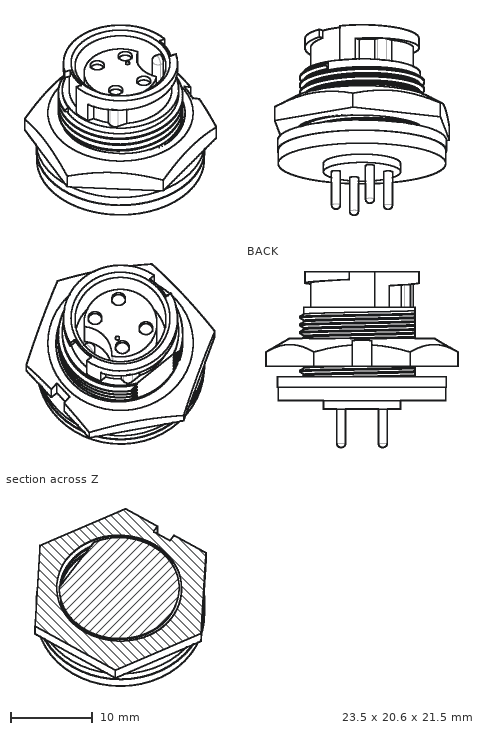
import cadquery as cq
import math

flange_step_z = 1.62
flange_top_z = 2.91
nut_bottom_z = 4.17
nut_height = 3.4
collar_top_z = 11.385
top_z = 15.72
overlap = 0.1

flange_radius = 10.31
flange_lower_radius = 10.24
boss_radius = 4.71
boss_height = 1.04

thread_pitch = 25.4 / 27
thread_root_radius = 7.11
thread_crest_radius = 7.6
thread_root_width = 0.76
thread_crest_width = 0.15
thread_turns = 9
thread_end_z = 10.874
thread_start_z = thread_end_z - thread_turns * thread_pitch
thread_start_angle = -90
collar_flat_x = -6.48

neck_radius = 6.27
rim_radius = 6.97
notch_width = 3.06
stop_end_x = 3.34
ramp_lead = 2.0
ramp_first_angle = 105
ramp_last_angle = 275
ramp_thin_angle = 257
rim_thin_height = 0.95
lug_face_x = 5.93
lug_inner_y = 2.08
lug_outer_y = 4.04
lug_fillet = 0.75

bore_radius = 5.55
bore_chamfer = 0.49
socket_depth = 6.5
socket_floor_z = top_z - socket_depth
insert_radius = 4.45
insert_recess = 1.66
insert_top_z = top_z - insert_recess
insert_scoop_radius = 3.68
insert_scoop_y = 6.29
insert_corner_fillet = 0.15
key_radius = 0.7
key_y = 5.08
key_center_z = insert_top_z
marker_radius = 0.25
marker_x = -1.25
marker_y = 1.58

contact_spacing_x = 5.08
contact_spacing_y = 3.81
contact_hole_diameter = 1.68
contact_hole_depth = 0.6
pin_radius = 0.55
pin_tip_fillet = 0.52
pin_tip_z = -5.74

nut_across_corners = 23.46
nut_face_radius = 8.87
nut_chamfer_angle = 30
nut_bore_radius = 7.43
nut_groove_radius = 7.89
nut_groove_mouth_width = 0.64
nut_groove_root_width = 0.1
nut_thread_turns = 7
nut_notch_width = 2.36
nut_notch_floor_y = 9.25


def cylinder(radius, bottom_z, height):
    """Solid cylinder on the connector axis."""
    return cq.Workplane("XY").workplane(offset=bottom_z).circle(radius).extrude(height)


def box_between(x_min, x_max, y_min, y_max, z_min, z_max):
    """Axis-aligned box between two corners."""
    size = (x_max - x_min, y_max - y_min, z_max - z_min)
    return cq.Workplane("XY").box(*size, centered=False).translate((x_min, y_min, z_min))


def helical_sweep(profile_points, lead, turns, start_angle, start_z):
    """Sweep a (radius, height) outline along a right-hand helix."""
    helix = cq.Wire.makeHelix(lead, lead * turns, profile_points[0][0])
    outline = cq.Workplane("XZ").polyline(profile_points).close()
    swept = outline.sweep(cq.Workplane(obj=helix), isFrenet=True)
    return swept.rotate((0, 0, 0), (0, 0, 1), start_angle).translate((0, 0, start_z))


def thread_ridge(inner_radius, outer_radius, inner_width, outer_width, turns):
    """Trapezoidal ridge on the helix that the collar and the nut share.

    The sides carry straight on past the inner radius, so that the ridge meets the cylinder there fully.
    """
    side_slope = (inner_width - outer_width) / (outer_radius - inner_radius)
    base_radius = inner_radius - overlap
    base_half = (inner_width + side_slope * overlap) / 2
    outline = [
        (base_radius, -base_half),
        (outer_radius, -outer_width / 2),
        (outer_radius, outer_width / 2),
        (base_radius, base_half),
    ]
    return helical_sweep(outline, thread_pitch, turns, thread_start_angle, thread_start_z)


def make_flange():
    """Two-step flange with the round boss behind it."""
    lower = cylinder(flange_lower_radius, 0, flange_step_z)
    upper = cylinder(flange_radius, flange_step_z, flange_top_z - flange_step_z)
    boss = cylinder(boss_radius, -boss_height, boss_height)
    return lower.union(upper).union(boss)


def make_threaded_collar():
    """Threaded collar with its flat on the -X side."""
    core = cylinder(thread_root_radius, flange_top_z - overlap, collar_top_z - flange_top_z + overlap)
    ridge = thread_ridge(
        thread_root_radius, thread_crest_radius, thread_root_width, thread_crest_width, thread_turns
    )
    flat_cutter = box_between(
        -flange_radius, collar_flat_x, -flange_radius, flange_radius, flange_top_z, collar_top_z
    )
    below_flange_top = cylinder(flange_radius, 0, flange_top_z - overlap)
    return core.union(ridge).cut(flat_cutter).cut(below_flange_top)


def ramp_undercut():
    """Space below the ramped rim on the -X side, ending at the stop."""
    ramp_degrees = ramp_last_angle - ramp_first_angle
    thin_rise = ramp_lead * (ramp_thin_angle - ramp_first_angle) / 360
    first_z = top_z - rim_thin_height - thin_rise
    depth = top_z - collar_top_z
    outline = [
        (neck_radius - overlap, 0),
        (rim_radius + overlap, 0),
        (rim_radius + overlap, -depth),
        (neck_radius - overlap, -depth),
    ]
    space = helical_sweep(outline, ramp_lead, ramp_degrees / 360, ramp_first_angle, first_z)
    stop = box_between(-stop_end_x, rim_radius, 0, flange_radius, 0, top_z)
    return space.cut(stop)


def detent_lug():
    """Lug standing on the neck at -X, +Y, with its outer corner rounded."""
    lug = box_between(-lug_face_x, 0, lug_inner_y, lug_outer_y, collar_top_z, top_z)
    return lug.edges("|Z and <X and >Y").fillet(lug_fillet)


def make_bayonet_neck():
    """Solid neck carrying the two-start bayonet rim."""
    neck_height = top_z - collar_top_z
    neck = cylinder(neck_radius, collar_top_z - overlap, neck_height + overlap)
    rim = cylinder(rim_radius, collar_top_z, neck_height)
    half_notch = notch_width / 2
    rim = rim.cut(box_between(-half_notch, half_notch, -flange_radius, flange_radius, 0, top_z))
    for turn in (0, 180):
        rim = rim.cut(ramp_undercut().rotate((0, 0, 0), (0, 0, 1), turn))
    neck = neck.union(rim)
    for turn in (0, 180):
        neck = neck.union(detent_lug().rotate((0, 0, 0), (0, 0, 1), turn))
    return neck


def socket_cutter():
    """Bore of the socket with its chamfered mouth."""
    return (
        cq.Workplane("XZ")
        .moveTo(0, socket_floor_z)
        .lineTo(bore_radius, socket_floor_z)
        .lineTo(bore_radius, top_z - bore_chamfer)
        .lineTo(bore_radius + bore_chamfer, top_z)
        .lineTo(0, top_z)
        .close()
        .revolve(360, (0, 0, 0), (0, 1, 0))
    )


def make_insert():
    """Contact insert: a disc scooped out on its +Y side, with contact holes and a marker dot."""
    height = insert_top_z - socket_floor_z + overlap
    bottom_z = socket_floor_z - overlap
    scoop = cylinder(insert_scoop_radius, bottom_z, height).translate((0, insert_scoop_y, 0))
    insert = cylinder(insert_radius, bottom_z, height).cut(scoop)
    insert = insert.edges("|Z and >Y").fillet(insert_corner_fillet)
    holes = (
        cq.Workplane("XY")
        .workplane(offset=insert_top_z - contact_hole_depth)
        .rarray(contact_spacing_x, contact_spacing_y, 2, 2)
        .circle(contact_hole_diameter / 2)
        .extrude(contact_hole_depth)
    )
    marker = cq.Workplane("XY").sphere(marker_radius).translate((marker_x, marker_y, insert_top_z))
    return insert.cut(holes).union(marker)


def make_key():
    """Key rib on the +Y wall of the socket, with a rounded front and a rounded top."""
    bottom_z = socket_floor_z - overlap
    wall_y = bore_radius + overlap
    height = key_center_z - bottom_z
    front = cylinder(key_radius, bottom_z, height).translate((0, key_y, 0))
    web = box_between(-key_radius, key_radius, key_y, wall_y, bottom_z, key_center_z)
    top = cq.Workplane("XZ").circle(key_radius).extrude(key_y - wall_y).translate((0, key_y, key_center_z))
    nose = cq.Workplane("XY").sphere(key_radius).translate((0, key_y, key_center_z))
    return front.union(web).union(top).union(nose)


def make_pins():
    """Four round-ended contact pins below the boss."""
    return (
        cq.Workplane("XY")
        .workplane(offset=pin_tip_z)
        .rarray(contact_spacing_x, contact_spacing_y, 2, 2)
        .circle(pin_radius)
        .extrude(-boss_height + overlap - pin_tip_z)
        .faces("<Z")
        .edges()
        .fillet(pin_tip_fillet)
    )


def make_connector():
    """Complete connector body."""
    body = make_flange().union(make_threaded_collar()).union(make_bayonet_neck())
    body = body.cut(socket_cutter())
    return body.union(make_insert()).union(make_key()).union(make_pins())


def make_nut():
    """Hexagonal nut, chamfered on top, with its own thread groove and a locating notch at +Y."""
    corner_radius = nut_across_corners / 2
    nut_top_z = nut_bottom_z + nut_height
    chamfer_drop = (corner_radius - nut_face_radius) * math.tan(math.radians(nut_chamfer_angle))
    envelope = (
        cq.Workplane("XZ")
        .moveTo(0, nut_bottom_z)
        .lineTo(corner_radius, nut_bottom_z)
        .lineTo(corner_radius, nut_top_z - chamfer_drop)
        .lineTo(nut_face_radius, nut_top_z)
        .lineTo(0, nut_top_z)
        .close()
        .revolve(360, (0, 0, 0), (0, 1, 0))
    )
    base_plane = cq.Workplane("XY").workplane(offset=nut_bottom_z)
    hexagon = base_plane.polygon(6, nut_across_corners).extrude(nut_height)
    groove = thread_ridge(
        nut_bore_radius, nut_groove_radius, nut_groove_mouth_width, nut_groove_root_width, nut_thread_turns
    )
    half_notch = nut_notch_width / 2
    notch = box_between(-half_notch, half_notch, nut_notch_floor_y, corner_radius, nut_bottom_z, nut_top_z)
    bore = cylinder(nut_bore_radius, nut_bottom_z, nut_height)
    return hexagon.cut(groove).cut(bore).intersect(envelope).cut(notch)


connector = make_connector()
nut = make_nut()
result = cq.Compound.makeCompound([connector.solids().val(), nut.solids().val()])